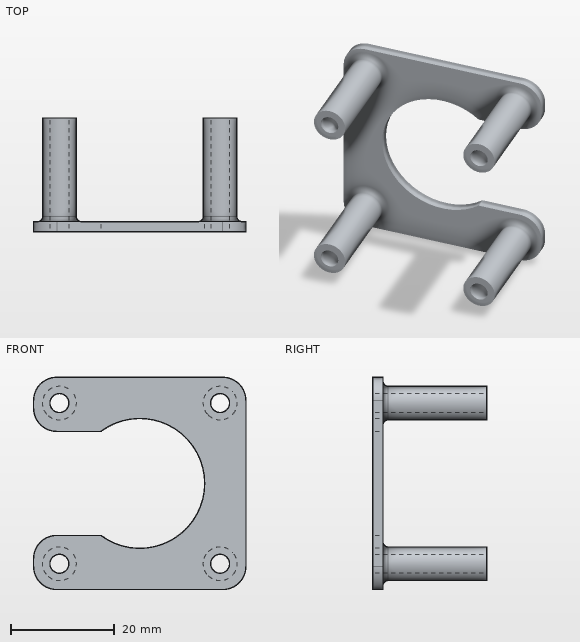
import cadquery as cq

plate_side = 41.0
plate_thickness = 2.0
corner_radius = 4.5

opening_diameter = 25.0
slot_width = 20.0

total_depth = 22.0
post_spacing = 31.0
post_diameter = 6.5
hole_diameter = 3.6
base_fillet_radius = 1.0

half_side = plate_side / 2


def make_plate():
    """Square plate with a keyhole opening and rounded outer corners."""
    blank = cq.Workplane("XZ").rect(plate_side, plate_side).extrude(-plate_thickness)
    opening = cq.Workplane("XZ").circle(opening_diameter / 2).extrude(-plate_thickness)
    slot = (
        cq.Workplane("XZ")
        .center(-half_side / 2, 0)
        .rect(half_side, slot_width)
        .extrude(-plate_thickness)
    )
    plate = blank.cut(opening).cut(slot)
    corner_edges = plate.edges("|Y and >X").add(plate.edges("|Y and <X"))
    return corner_edges.fillet(corner_radius)


def make_post():
    """Post on the Y axis with a concave fillet flaring onto the plate."""
    post_radius = post_diameter / 2
    fillet_top = plate_thickness + base_fillet_radius
    arc_offset = base_fillet_radius * (1 - 0.5**0.5)
    return (
        cq.Workplane("XY")
        .lineTo(post_radius + base_fillet_radius, 0)
        .lineTo(post_radius + base_fillet_radius, plate_thickness)
        .threePointArc(
            (post_radius + arc_offset, plate_thickness + arc_offset),
            (post_radius, fillet_top),
        )
        .lineTo(post_radius, total_depth)
        .lineTo(0, total_depth)
        .close()
        .revolve(360, (0, 0, 0), (0, 1, 0))
    )


def make_hole():
    """Through hole along the Y axis."""
    return cq.Workplane("XZ").circle(hole_diameter / 2).extrude(-total_depth)


half_spacing = post_spacing / 2
post_centers = [(x, 0, z) for x in (-half_spacing, half_spacing) for z in (-half_spacing, half_spacing)]

result = make_plate()
for center in post_centers:
    result = result.union(make_post().translate(center))
for center in post_centers:
    result = result.cut(make_hole().translate(center))